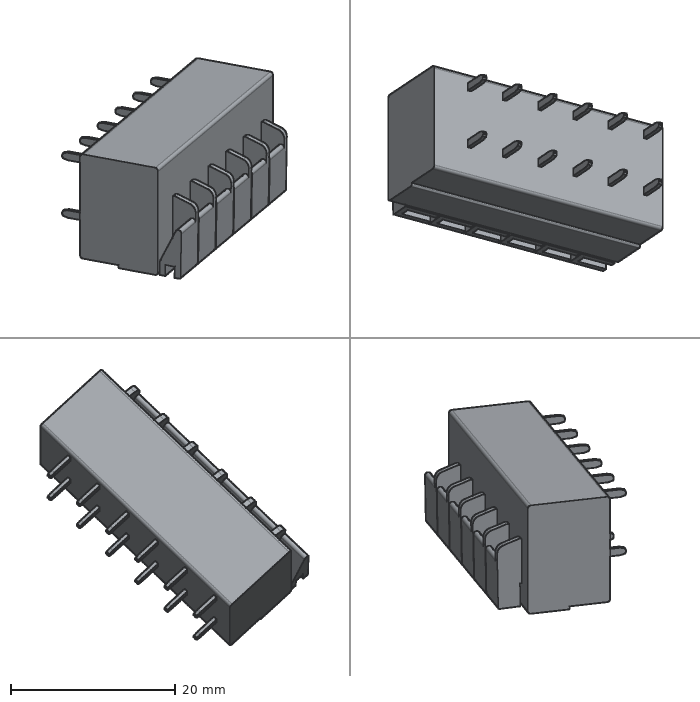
import cadquery as cq

length = 33.02
height = 14.23
depth = 17.1
position_count = 6
pitch = 5.1
row_count = 2

housing_depth = 10.5
edge_radius = 0.4
foot_height = 0.4
foot_start = 8.65
foot_back_radius = 0.2

pin_length = 3.5
pin_thickness = 0.5
pin_height = 1.0
pin_first_y = 2.55
pin_lower_z = 4.85
pin_row_gap = 7.63
pin_taper_length = 0.75
pin_shoulder_height = 0.65
pin_tip_height = 0.13
pin_tip_chamfer = 0.115

lever_first_y = 0.13
lever_width = 4.85
lever_wall = 0.8
lever_tilt = 1.0
lever_pivot_z = 7.2
lever_bottom = 0.0
lever_slot = 0.28
slot_top = 3.0
wall_top = 9.05
wall_front_top = 8.05
wall_top_radius = 0.45
wall_nose_radius = 1.12
wedge_toe = 1.85
wedge_apex = 7.83
wedge_radius = 0.4
lever_foot_radius = 0.2
notch_width = 1.25
notch_height = 1.5
notch_front_wall = 0.83

housing_front = pin_length + housing_depth
overlap = 0.23


def make_housing():
    """Box with rounded long edges and a shallow foot under its front half."""
    block = (
        cq.Workplane("XY")
        .box(housing_depth, length, height - foot_height, centered=False)
        .translate((pin_length, 0, foot_height))
        .edges("|Y and (<X or >Z)")
        .fillet(edge_radius)
    )
    foot_depth = housing_front - foot_start
    foot = (
        cq.Workplane("XY")
        .box(foot_depth, length, height / 2, centered=False)
        .translate((foot_start, 0, 0))
        .edges("|Y and >X and <Z")
        .fillet(edge_radius)
        .edges("|Y and <X and <Z")
        .fillet(foot_back_radius)
    )
    return block.union(foot)


def make_pin(y, z):
    """Flat pin with a tapered, chamfered tip, centred on the given Y and Z."""
    upper_edge = [
        (0, pin_tip_height / 2),
        (pin_tip_chamfer, pin_shoulder_height / 2),
        (pin_taper_length, pin_height / 2),
        (pin_length + overlap, pin_height / 2),
    ]
    lower_edge = [(x, -half) for x, half in reversed(upper_edge)]
    return (
        cq.Workplane("XZ")
        .polyline(upper_edge + lower_edge)
        .close()
        .extrude(pin_thickness / 2, both=True)
        .translate((0, y, z))
    )


def extrude_along_y(points, start, width):
    """Prism with an XZ outline, running from start towards +Y."""
    return cq.Workplane("XZ", origin=(0, start, 0)).polyline(points).close().extrude(-width)


def make_lever():
    """Lever whose near end is at Y = 0: a notched wedge with a taller side wall."""
    back = housing_front + lever_slot
    wall_start = lever_width - lever_wall
    wall = extrude_along_y(
        [
            (housing_front - overlap, slot_top),
            (housing_front - overlap, wall_top),
            (depth, wall_front_top),
            (depth, lever_bottom),
            (back, lever_bottom),
            (back, slot_top),
        ],
        wall_start,
        lever_wall,
    )
    wall = wall.edges("|Y and >Z").fillet(wall_top_radius)
    nose = cq.selectors.NearestToPointSelector((depth, wall_start + lever_wall / 2, wall_front_top))
    wall = wall.edges(nose).fillet(wall_nose_radius)

    wedge = extrude_along_y(
        [
            (back, lever_bottom),
            (back, wedge_toe),
            (depth, wedge_apex),
            (depth, lever_bottom),
        ],
        0,
        wall_start,
    )
    wedge = wedge.edges("|Y and >Z").fillet(wedge_radius)

    notch = (
        cq.Workplane("XY")
        .box(notch_width, wall_start, notch_height, centered=False)
        .translate((depth - notch_front_wall - notch_width, 0, lever_bottom))
    )
    lever = wall.union(wedge).cut(notch).edges("|Y and >X and <Z").fillet(lever_foot_radius)
    return lever.rotate((depth, 0, lever_pivot_z), (depth, 1, lever_pivot_z), lever_tilt)


result = make_housing()
lever = make_lever()
for position in range(position_count):
    offset = position * pitch
    for row in range(row_count):
        result = result.union(make_pin(pin_first_y + offset, pin_lower_z + row * pin_row_gap))
    result = result.union(lever.translate((0, lever_first_y + offset, 0)))